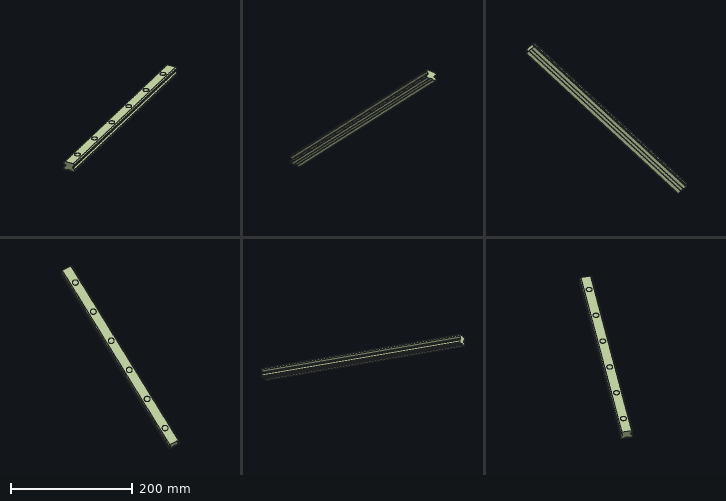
import cadquery as cq
import math

LENGTH = 360.0
WIDTH = 20.0
HEIGHT = 15.5
HALF_WIDTH = WIDTH / 2

TOP_CORNER = 1.98
TOP_RACEWAY_SAG = 0.45
HEAD_SIDE_BOTTOM = 11.0
LOWER_RACEWAY_SAG = 0.3
LOWER_RACEWAY_BOTTOM = 9.5

NECK_WIDTH = 15.0
WAIST_WIDTH = 13.5
WAIST_TOP = 8.5
WAIST_BOTTOM = 7.0

FOOT_TOP = 4.5
FOOT_BEVEL = 0.9
RELIEF_WIDTH = 5.5
RELIEF_DEPTH = 1.0

HOLE_COUNT = 6
HOLE_PITCH = LENGTH / HOLE_COUNT
HOLE_DIAMETER = 9.7
HOLE_DEPTH = 0.5


def hollow_midpoint(start, end, sag):
    """Middle point of an arc that bows to the left of the line from start to end."""
    run = end[0] - start[0]
    rise = end[1] - start[1]
    chord = math.hypot(run, rise)
    middle_x = (start[0] + end[0]) / 2
    middle_z = (start[1] + end[1]) / 2
    return (middle_x - sag * rise / chord, middle_z + sag * run / chord)


def rail_section():
    """Cross-section: the right half drawn from bottom to top, then mirrored."""
    lower_raceway_start = (NECK_WIDTH / 2, LOWER_RACEWAY_BOTTOM)
    lower_raceway_end = (HALF_WIDTH, HEAD_SIDE_BOTTOM)
    top_raceway_start = (HALF_WIDTH, HEIGHT - TOP_CORNER)
    top_raceway_end = (HALF_WIDTH - TOP_CORNER, HEIGHT)
    lower_middle = hollow_midpoint(lower_raceway_start, lower_raceway_end, LOWER_RACEWAY_SAG)
    top_middle = hollow_midpoint(top_raceway_start, top_raceway_end, TOP_RACEWAY_SAG)
    return (
        cq.Workplane("XZ")
        .moveTo(0, RELIEF_DEPTH)
        .lineTo(RELIEF_WIDTH / 2, RELIEF_DEPTH)
        .lineTo(RELIEF_WIDTH / 2, 0)
        .lineTo(HALF_WIDTH - FOOT_BEVEL, 0)
        .lineTo(HALF_WIDTH, FOOT_BEVEL)
        .lineTo(HALF_WIDTH, FOOT_TOP)
        .lineTo(NECK_WIDTH / 2, WAIST_BOTTOM)
        .lineTo(WAIST_WIDTH / 2, WAIST_BOTTOM)
        .lineTo(WAIST_WIDTH / 2, WAIST_TOP)
        .lineTo(*lower_raceway_start)
        .threePointArc(lower_middle, lower_raceway_end)
        .lineTo(*top_raceway_start)
        .threePointArc(top_middle, top_raceway_end)
        .lineTo(0, HEIGHT)
        .mirrorY()
    )


def mounting_recesses():
    """Round recesses, evenly spaced along the top face with half a pitch left at each end."""
    return (
        cq.Workplane("XY")
        .workplane(offset=HEIGHT - HOLE_DEPTH)
        .rarray(3.5, HOLE_PITCH, 1, HOLE_COUNT)
        .circle(HOLE_DIAMETER / 2)
        .extrude(HOLE_DEPTH)
    )


rail = rail_section().extrude(LENGTH / 2, both=True)
result = rail.cut(mounting_recesses())